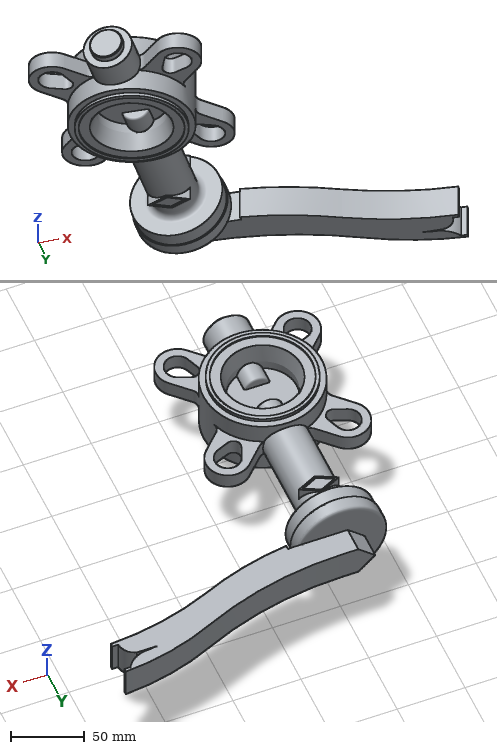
import cadquery as cq
import math


barrel_radius = 43.5
shoulder_height = 21.5
ring_outer_radius = 38.8
ring_inner_radius = 36.0
ring_height = 24.0
seat_face_height = 23.0
bore_mouth_radius = 28.5
bore_radius = 25.0
bore_throat_height = 10.0
disc_half_thickness = 3.0
hub_radius = 10.0
hub_inner_end = 9.5
hub_fillet = 1.5

neck_radius = 17.0
neck_bottom = -64.0
plug_radius = 11.5
plug_bottom = -69.0
plug_chamfer = 0.6
top_flange_radius = 32.5
top_flange_bottom = 117.8
top_flange_top = 129.0
neck_fillet = 5.0

pad_center_y = 99.0
pad_half_length = 14.8
pad_half_width = 7.1
pad_height = 18.0
pad_rim = 1.3
pad_recess = 0.5

lug_thickness = 12.0
lug_radius = 16.0
lug_distance = 62.5
lug_angles = (45, 135, 225, 315)
lug_root_fillet = 6.5
slot_outer_radius = 9.5
slot_inner_radius = 5.5
slot_inner_distance = 52.4

cap_radius = 33.5
cap_top = 140.0
cap_fillet = 2.5
lever_thickness = 23.5
lever_tip_x = -16.6
lever_tip_length = 12.5
lever_back_y = 158.8
lever_straight_end_x = 7.0
lever_top_bend = (115.0, 182.2)
lever_end_x = 183.94
lever_end_top = 199.2
lever_heel = (39.8, 137.0)
lever_bottom_bend = (106.8, 155.2)
lever_bottom_inner_sag = 2.6
lever_bottom_outer_sag = 3.5
lever_end_bottom = 172.2
lip_start_x = 179.5
lip_thickness = 2.6
notch_tip = (155.8, 186.1)
notch_upper_start = (162.0, 187.0)
notch_upper_middle = (173.0, 189.9)
notch_lower_start_x = 170.5
notch_lower_middle = (177.0, 181.6)


def cylinder_y(radius, y_start, y_end):
    """Cylinder on the Y axis between two Y positions."""
    return cq.Workplane("XZ", origin=(0, y_start, 0)).circle(radius).extrude(y_start - y_end)


def cylinder_z(radius, half_height):
    """Cylinder on the Z axis, centred on the origin."""
    return cq.Workplane("XY").circle(radius).extrude(half_height, both=True)


def diamond(half_length, half_width, bottom, height):
    """Diamond prism standing on a Z level, centred on the pad position."""
    corners = [(half_length, 0), (0, half_width), (-half_length, 0), (0, -half_width)]
    return cq.Workplane("XY", origin=(0, pad_center_y, bottom)).polyline(corners).close().extrude(height)


def make_pad():
    """Upper diamond pad with its shallow recess inside a narrow rim."""
    side_length = math.hypot(pad_half_length, pad_half_width)
    side_distance = pad_half_length * pad_half_width / side_length
    rim_scale = 1 - pad_rim / side_distance
    pad = diamond(pad_half_length, pad_half_width, 0, pad_height)
    recess = diamond(
        pad_half_length * rim_scale, pad_half_width * rim_scale, pad_height - pad_recess, pad_recess
    )
    return pad.cut(recess)


def make_neck():
    """Stem neck with its top flange, root fillet, bottom plug and diamond pads."""
    fillet_start = top_flange_bottom - neck_fillet
    fillet_reach = neck_fillet * (1 - math.sqrt(0.5))
    neck = (
        cq.Workplane("XY")
        .moveTo(0, plug_bottom)
        .lineTo(plug_radius - plug_chamfer, plug_bottom)
        .lineTo(plug_radius, plug_bottom + plug_chamfer)
        .lineTo(plug_radius, neck_bottom)
        .lineTo(neck_radius, neck_bottom)
        .lineTo(neck_radius, fillet_start)
        .threePointArc(
            (neck_radius + fillet_reach, top_flange_bottom - fillet_reach),
            (neck_radius + neck_fillet, top_flange_bottom),
        )
        .lineTo(top_flange_radius, top_flange_bottom)
        .lineTo(top_flange_radius, top_flange_top)
        .lineTo(0, top_flange_top)
        .close()
        .revolve(360, (0, 0, 0), (0, 1, 0))
    )
    pad = make_pad()
    return neck.union(pad).union(pad.mirror("XY"))


def make_lug():
    """One lug on the +X axis, with fillets that run into the barrel."""
    fillet_center_y = lug_radius + lug_root_fillet
    fillet_center_x = math.sqrt((barrel_radius + lug_root_fillet) ** 2 - fillet_center_y**2)
    touch_ratio = barrel_radius / (barrel_radius + lug_root_fillet)
    touch_x = fillet_center_x * touch_ratio
    touch_y = fillet_center_y * touch_ratio

    mid_angle = (math.atan2(-fillet_center_y, -fillet_center_x) - math.pi / 2) / 2
    mid_x = fillet_center_x + lug_root_fillet * math.cos(mid_angle)
    mid_y = fillet_center_y + lug_root_fillet * math.sin(mid_angle)

    return (
        cq.Workplane("XY", origin=(0, 0, -lug_thickness / 2))
        .moveTo(touch_x, -touch_y)
        .threePointArc((mid_x, -mid_y), (fillet_center_x, -lug_radius))
        .lineTo(lug_distance, -lug_radius)
        .threePointArc((lug_distance + lug_radius, 0), (lug_distance, lug_radius))
        .lineTo(fillet_center_x, lug_radius)
        .threePointArc((mid_x, mid_y), (touch_x, touch_y))
        .close()
        .extrude(lug_thickness)
    )


def make_slot():
    """Tapered bolt slot: two circles of different size joined by tangent lines."""
    taper = math.asin((slot_outer_radius - slot_inner_radius) / (lug_distance - slot_inner_distance))

    def tangent_point(center, radius):
        return center - radius * math.sin(taper), radius * math.cos(taper)

    outer_x, outer_y = tangent_point(lug_distance, slot_outer_radius)
    inner_x, inner_y = tangent_point(slot_inner_distance, slot_inner_radius)
    return (
        cq.Workplane("XY", origin=(0, 0, -lug_thickness / 2))
        .moveTo(inner_x, -inner_y)
        .lineTo(outer_x, -outer_y)
        .threePointArc((lug_distance + slot_outer_radius, 0), (outer_x, outer_y))
        .lineTo(inner_x, inner_y)
        .threePointArc((slot_inner_distance - slot_inner_radius, 0), (inner_x, -inner_y))
        .close()
        .extrude(lug_thickness)
    )


def make_bore_half():
    """Upper half of the bore: flared mouth above a straight throat."""
    return (
        cq.Workplane("XZ")
        .moveTo(0, disc_half_thickness)
        .lineTo(bore_radius, disc_half_thickness)
        .lineTo(bore_radius, bore_throat_height)
        .lineTo(bore_mouth_radius, seat_face_height)
        .lineTo(ring_inner_radius, seat_face_height)
        .lineTo(ring_inner_radius, ring_height)
        .lineTo(0, ring_height)
        .close()
        .revolve(360, (0, 0, 0), (0, 1, 0))
    )


def make_body():
    """Valve body with neck, lugs, sealing rings, disc and disc hubs."""
    body = cylinder_z(barrel_radius, shoulder_height).union(make_neck())
    body = body.union(cylinder_z(ring_outer_radius, ring_height))
    lug = make_lug()
    slot = make_slot()
    for angle in lug_angles:
        body = body.union(lug.rotate((0, 0, 0), (0, 0, 1), angle))
        body = body.cut(slot.rotate((0, 0, 0), (0, 0, 1), angle))
    bore = make_bore_half()
    body = body.cut(bore).cut(bore.mirror("XY"))
    hub_outer_end = barrel_radius - hub_radius
    hub = cylinder_y(hub_radius, hub_inner_end, hub_outer_end)
    hub = hub.faces("<Y").edges().fillet(hub_fillet)
    return body.union(hub).union(hub.mirror("XZ"))


def make_lever():
    """Hand lever with its round cap, pointed rear end and forked tail."""
    upper_lip_y = lever_end_top - lip_thickness
    lower_lip_y = lever_end_bottom + lip_thickness
    arm = (
        cq.Workplane("XY", origin=(0, 0, -lever_thickness / 2))
        .moveTo(lever_tip_x, cap_top)
        .lineTo(lever_tip_x, lever_back_y)
        .lineTo(lever_straight_end_x, lever_back_y)
        .tangentArcPoint(lever_top_bend, relative=False)
        .tangentArcPoint((lever_end_x, lever_end_top), relative=False)
        .lineTo(lever_end_x, upper_lip_y)
        .lineTo(lip_start_x, upper_lip_y)
        .threePointArc(notch_upper_middle, notch_upper_start)
        .lineTo(*notch_tip)
        .lineTo(notch_lower_start_x, notch_tip[1])
        .threePointArc(notch_lower_middle, (lip_start_x, lower_lip_y))
        .lineTo(lever_end_x, lower_lip_y)
        .lineTo(lever_end_x, lever_end_bottom)
        .sagittaArc(lever_bottom_bend, -lever_bottom_outer_sag)
        .sagittaArc(lever_heel, lever_bottom_inner_sag)
        .lineTo(lever_heel[0], cap_top)
        .close()
        .extrude(lever_thickness)
    )
    tip_base_x = lever_tip_x + lever_tip_length
    half_thickness = lever_thickness / 2
    tip_outline = [
        (lever_tip_x, 0),
        (tip_base_x, half_thickness),
        (lever_end_x, half_thickness),
        (lever_end_x, -half_thickness),
        (tip_base_x, -half_thickness),
    ]
    pointed_envelope = cq.Workplane("XZ").polyline(tip_outline).close().extrude(-lever_end_top)
    cap = cylinder_y(cap_radius, top_flange_top, cap_top).faces(">Y").edges().fillet(cap_fillet)
    return cap.union(arm.intersect(pointed_envelope))


body = make_body()
lever = make_lever()
result = cq.Compound.makeCompound([body.solids().val(), lever.solids().val()])